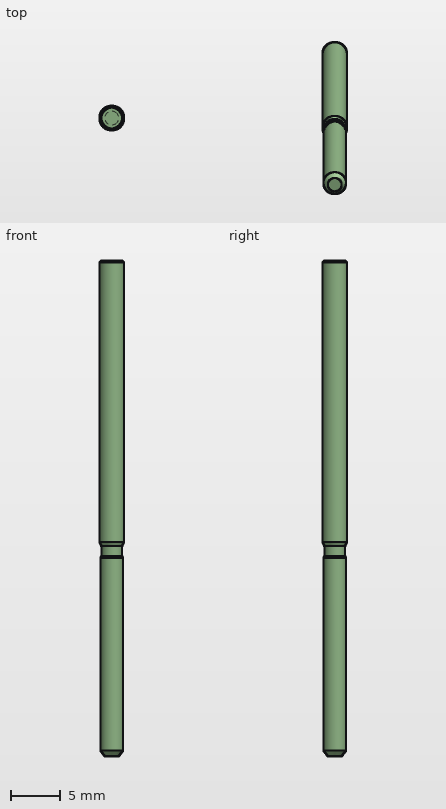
import cadquery as cq

total_length = 50.0

rod_radius = 1.25
rod_bottom = 21.2
rod_top_bevel = 0.2
rod_bottom_bevel_height = 0.45

shank_radius = 1.15
shank_top = 20.0
neck_radius = 1.05
neck_bottom = 20.2
tip_radius = 0.7
tip_height = 0.6


def make_rod():
    """Upper cylinder with a bevel around each end."""
    rod_length = total_length - rod_bottom
    rod = cq.Workplane("XY").workplane(offset=rod_bottom).circle(rod_radius).extrude(rod_length)
    rod = rod.faces(">Z").chamfer(rod_top_bevel)
    return rod.faces("<Z").chamfer(rod_bottom_bevel_height, rod_radius - neck_radius)


def make_pin():
    """Lower pin revolved from its half profile: tip, shank, shoulder and neck."""
    return (
        cq.Workplane("XZ")
        .lineTo(tip_radius, 0)
        .lineTo(shank_radius, tip_height)
        .lineTo(shank_radius, shank_top)
        .lineTo(neck_radius, neck_bottom)
        .lineTo(neck_radius, rod_bottom)
        .lineTo(0, rod_bottom)
        .close()
        .revolve(360, (0, 0, 0), (0, 1, 0))
    )


rod = make_rod()
pin = make_pin()

result = cq.Compound.makeCompound([rod.val(), pin.val()])